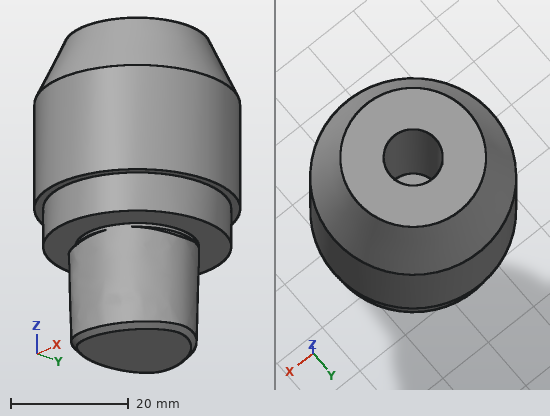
import cadquery as cq
import math

total_height = 56.0
shank_length = 19.0
flange_height = 7.0
nose_height = 10.85

flange_diameter = 32.0
body_diameter = 35.0
nose_diameter = 24.75

shank_end_width = 21.3
taper_ratio = 1 / 20
lobe_eccentricity = 0.7
lobe_count = 3
points_per_lobe = 24
end_chamfer_height = 1.0
end_chamfer_inset = 0.95

neck_diameter = 21.0
neck_height = 0.7
relief_radius = 14.0

bore_diameter = 10.0
bore_depth = 25.2
flat_distance = 4.4
flat_height = 15.1


def lobed_outline(mean_radius):
    """Points of a constant-width curve with one lobe on +X."""
    point_count = lobe_count * points_per_lobe
    points = []
    for i in range(point_count):
        angle = 2 * math.pi * i / point_count
        reach = mean_radius + lobe_eccentricity * math.cos(lobe_count * angle)
        slope = -lobe_count * lobe_eccentricity * math.sin(lobe_count * angle)
        x = reach * math.cos(angle) - slope * math.sin(angle)
        y = reach * math.sin(angle) + slope * math.cos(angle)
        points.append((x, y))
    return points


def lobed_section(z, mean_radius):
    plane = cq.Workplane("XY", origin=(0, 0, z))
    return plane.spline(lobed_outline(mean_radius), periodic=True).wire().val()


def lobed_taper(z_low, radius_low, z_high, radius_high):
    sections = [lobed_section(z_low, radius_low), lobed_section(z_high, radius_high)]
    return cq.Workplane(cq.Solid.makeLoft(sections, True))


def shank_radius(z):
    return (shank_end_width + taper_ratio * z) / 2


def make_shank():
    chamfer_radius = shank_radius(end_chamfer_height)
    chamfer = lobed_taper(0, chamfer_radius - end_chamfer_inset, end_chamfer_height, chamfer_radius)
    taper = lobed_taper(end_chamfer_height, chamfer_radius, shank_length, shank_radius(shank_length))

    neck_radius = neck_diameter / 2
    neck_bottom = shank_length - neck_height
    relief_bottom = neck_bottom - (relief_radius - neck_radius)
    envelope = (
        cq.Workplane("XZ")
        .moveTo(0, 0)
        .lineTo(relief_radius, 0)
        .lineTo(relief_radius, relief_bottom)
        .lineTo(neck_radius, neck_bottom)
        .lineTo(neck_radius, shank_length)
        .lineTo(0, shank_length)
        .close()
        .revolve()
    )
    return taper.intersect(envelope).union(chamfer)


def make_body():
    flange_top = shank_length + flange_height
    nose_bottom = total_height - nose_height
    return (
        cq.Workplane("XZ")
        .moveTo(0, shank_length)
        .lineTo(flange_diameter / 2, shank_length)
        .lineTo(flange_diameter / 2, flange_top)
        .lineTo(body_diameter / 2, flange_top)
        .lineTo(body_diameter / 2, nose_bottom)
        .lineTo(nose_diameter / 2, total_height)
        .lineTo(0, total_height)
        .close()
        .revolve()
    )


def make_bore():
    radius = bore_diameter / 2
    floor = total_height - bore_depth
    bore = cq.Workplane("XY", origin=(0, 0, floor)).circle(radius).extrude(bore_depth)
    flat_wedge = (
        cq.Workplane("XZ")
        .moveTo(flat_distance, floor)
        .lineTo(radius, floor)
        .lineTo(radius, floor + flat_height)
        .close()
        .extrude(radius, both=True)
    )
    return bore.cut(flat_wedge)


result = make_body().union(make_shank()).cut(make_bore())